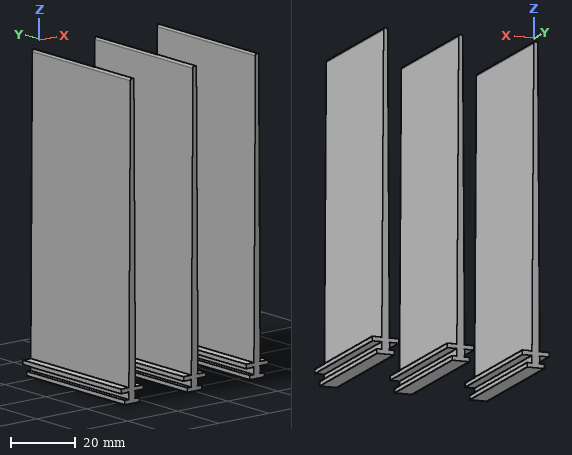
import cadquery as cq

BLADE_COUNT = 3
BLADE_PITCH = 25.0

BLADE_LENGTH = 48.0
BLADE_HEIGHT = 103.8

FOOT_WIDTH = 5.8
FLANGE_WIDTH = 8.9
PLATE_THICKNESS = 1.5
FLANGE_BOTTOM = 3.8
FLANGE_TOP = FLANGE_BOTTOM + PLATE_THICKNESS

STEM_WIDTH = 2.6
TIP_RADIUS = 0.7
TIP_SHOULDER = BLADE_HEIGHT - TIP_RADIUS


def centred_bar(width, bottom, height):
    """Bar along the blade, centred on X and Y."""
    return (
        cq.Workplane("XY")
        .workplane(offset=bottom)
        .rect(width, BLADE_LENGTH)
        .extrude(height)
    )


def tapered_web():
    """Web narrowing from the flange to its half-round tip."""
    return (
        cq.Workplane("XZ")
        .moveTo(-STEM_WIDTH / 2, FLANGE_TOP)
        .lineTo(STEM_WIDTH / 2, FLANGE_TOP)
        .lineTo(TIP_RADIUS, TIP_SHOULDER)
        .threePointArc((0, BLADE_HEIGHT), (-TIP_RADIUS, TIP_SHOULDER))
        .close()
        .extrude(BLADE_LENGTH / 2, both=True)
    )


def make_blade(x_position):
    """One blade: foot, stem, flange and web as a single solid."""
    foot = centred_bar(FOOT_WIDTH, 0, PLATE_THICKNESS)
    stem = centred_bar(STEM_WIDTH, 0, FLANGE_TOP)
    flange = centred_bar(FLANGE_WIDTH, FLANGE_BOTTOM, PLATE_THICKNESS)
    blade = foot.union(stem).union(flange).union(tapered_web())
    return blade.translate((x_position, 0, 0))


first_x = -BLADE_PITCH * (BLADE_COUNT - 1) / 2
blades = [make_blade(first_x + index * BLADE_PITCH) for index in range(BLADE_COUNT)]

result = cq.Compound.makeCompound([blade.val() for blade in blades])